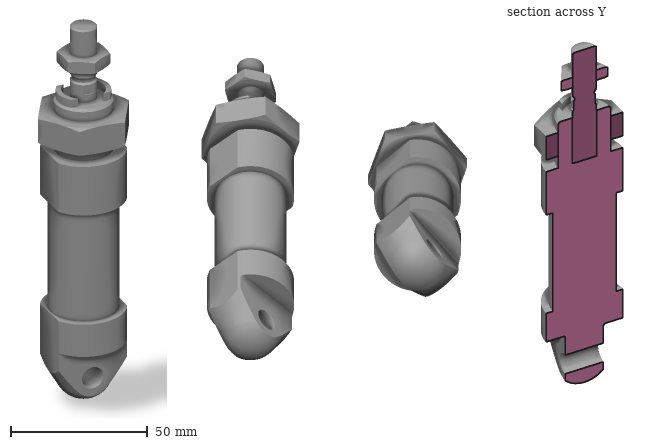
import cadquery as cq
import math

total_height = 152.0
root_z = 23.9
tube_bottom_z = 37.1
tube_top_z = 81.8
front_cap_top_z = 101.7
thread_top_z = 122.5
lock_nut_z = 106.9
rod_nut_z = 136.0

lock_nut_corners = 37.0
lock_nut_flats = lock_nut_corners * math.cos(math.pi / 6)

cap_diameter = lock_nut_flats
tube_diameter = 26.5
neck_diameter = 22.0
neck_chamfer = 0.9
front_flat_y = -13.8
back_flat_y = 14.5
collar_diameter = 20.4
collar_bore = 16.4
collar_height = 3.2
collar_width = 12.8

clevis_thickness = 16.0
root_fillet = 0.8
eye_diameter = 8.4
eye_chamfer = 0.2
nose_radius = 11.0
cone_angle = 30.0

rod_diameter = 10.0
rod_chamfer = 0.6
undercut_diameter = 8.4
undercut_top_z = 132.4
undercut_bottom_z = 129.7
undercut_upper_taper = 1.2
undercut_lower_taper = 0.6
rod_flat_width = 9.0
rod_flat_z = 125.7

lock_nut_height = 11.0
rod_nut_flats = 17.0
rod_nut_height = 4.9
nut_chamfer_angle = 15.0


def cylinder(diameter, bottom_z, top_z):
    return cq.Workplane("XY").workplane(offset=bottom_z).circle(diameter / 2).extrude(top_z - bottom_z)


def slab_x(width, bottom_z, top_z):
    """Block of the given X width, longer in Y than any body."""
    height = top_z - bottom_z
    return cq.Workplane("XY").box(width, 2 * cap_diameter, height).translate((0, 0, bottom_z + height / 2))


def make_rear_body():
    """Rear cap and clevis blank: cylinder, cone and spherical nose in one revolve."""
    radius = cap_diameter / 2
    angle = math.radians(cone_angle)
    tangent_r = nose_radius * math.cos(angle)
    tangent_z = nose_radius * (1 - math.sin(angle))
    cone_top_z = tangent_z + (radius - tangent_r) / math.tan(angle)
    middle = math.radians(90 - cone_angle) / 2
    arc_middle = (nose_radius * math.sin(middle), nose_radius * (1 - math.cos(middle)))
    blank = (
        cq.Workplane("XZ")
        .moveTo(0, 0)
        .threePointArc(arc_middle, (tangent_r, tangent_z))
        .lineTo(radius, cone_top_z)
        .lineTo(radius, tube_bottom_z)
        .lineTo(0, tube_bottom_z)
        .close()
        .revolve(360, (0, 0, 0), (0, 1, 0))
    )
    cap = blank.intersect(cylinder(2 * cap_diameter, root_z, tube_bottom_z))
    clevis = blank.intersect(slab_x(clevis_thickness, 0, root_z))
    return cap.union(clevis).union(blank.intersect(make_root_fillets()))


def make_root_fillets():
    """Concave strips along Y in the corners between the clevis faces and the cap."""
    face_x = clevis_thickness / 2
    to_arc = root_fillet * (1 - math.sqrt(0.5))
    strip = (
        cq.Workplane("XZ", origin=(0, cap_diameter, 0))
        .moveTo(face_x, root_z)
        .lineTo(face_x, root_z - root_fillet)
        .threePointArc((face_x + to_arc, root_z - to_arc), (face_x + root_fillet, root_z))
        .close()
        .extrude(2 * cap_diameter)
    )
    return strip.union(strip.mirror("YZ"))


def cut_eye(body):
    """Cross hole along X through the clevis, chamfered at both ends."""
    half_length = clevis_thickness / 2
    radius = eye_diameter / 2
    eye = (
        cq.Workplane("XY")
        .polyline([
            (-half_length, 0),
            (-half_length, radius + eye_chamfer),
            (-half_length + eye_chamfer, radius),
            (half_length - eye_chamfer, radius),
            (half_length, radius + eye_chamfer),
            (half_length, 0),
        ])
        .close()
        .revolve(360, (0, 0, 0), (1, 0, 0))
        .translate((0, 0, nose_radius))
    )
    return body.cut(eye)


def make_collar():
    """Two arc-shaped segments standing on the neck, facing +Y and -Y."""
    top_z = thread_top_z + collar_height
    ring = cylinder(collar_diameter, thread_top_z, top_z).cut(cylinder(collar_bore, thread_top_z, top_z))
    return ring.intersect(slab_x(collar_width, thread_top_z, top_z))


def make_housing():
    front_cap = cylinder(cap_diameter, tube_top_z, front_cap_top_z)
    caps = make_rear_body().union(front_cap)
    flat_depth = back_flat_y - front_flat_y
    between_flats = (
        cq.Workplane("XY")
        .box(2 * cap_diameter, flat_depth, total_height)
        .translate((0, (back_flat_y + front_flat_y) / 2, total_height / 2))
    )
    caps = cut_eye(caps.intersect(between_flats))
    tube = cylinder(tube_diameter, tube_bottom_z, tube_top_z)
    neck = cylinder(neck_diameter, front_cap_top_z, thread_top_z).faces(">Z").chamfer(neck_chamfer)
    rod_bore = cylinder(rod_diameter, front_cap_top_z, thread_top_z)
    return caps.union(tube).union(neck).union(make_collar()).cut(rod_bore)


def make_rod():
    """Piston rod, seated in the bore of the neck."""
    radius = rod_diameter / 2
    undercut_radius = undercut_diameter / 2
    rod = (
        cq.Workplane("XZ")
        .polyline([
            (0, front_cap_top_z),
            (radius, front_cap_top_z),
            (radius, undercut_bottom_z),
            (undercut_radius, undercut_bottom_z + undercut_lower_taper),
            (undercut_radius, undercut_top_z - undercut_upper_taper),
            (radius, undercut_top_z),
            (radius, total_height - rod_chamfer),
            (radius - rod_chamfer, total_height),
            (0, total_height),
        ])
        .close()
        .revolve(360, (0, 0, 0), (0, 1, 0))
    )
    flat_band = cylinder(2 * rod_diameter, rod_flat_z, undercut_bottom_z)
    return rod.cut(flat_band.cut(slab_x(rod_flat_width, rod_flat_z, undercut_bottom_z)))


def make_nut(flats, height, bore, bottom_z, corner_angle):
    """Hex nut with both ends chamfered; corner_angle turns its corners away from the X axis."""
    corner_diameter = flats / math.cos(math.pi / 6)
    corner_radius = corner_diameter / 2
    chamfer_drop = (corner_radius - flats / 2) * math.tan(math.radians(nut_chamfer_angle))
    hexagon = (
        cq.Workplane("XY")
        .polygon(6, corner_diameter)
        .extrude(height)
        .rotate((0, 0, 0), (0, 0, 1), corner_angle)
    )
    chamfered_envelope = (
        cq.Workplane("XZ")
        .polyline([
            (0, 0),
            (flats / 2, 0),
            (corner_radius, chamfer_drop),
            (corner_radius, height - chamfer_drop),
            (flats / 2, height),
            (0, height),
        ])
        .close()
        .revolve(360, (0, 0, 0), (0, 1, 0))
    )
    nut = hexagon.intersect(chamfered_envelope).cut(cylinder(bore, 0, height))
    return nut.translate((0, 0, bottom_z))


housing = make_housing()
rod = make_rod()
lock_nut = make_nut(lock_nut_flats, lock_nut_height, neck_diameter, lock_nut_z, 30)
rod_nut = make_nut(rod_nut_flats, rod_nut_height, rod_diameter, rod_nut_z, 0)

result = cq.Compound.makeCompound([housing.val(), rod.val(), lock_nut.val(), rod_nut.val()])